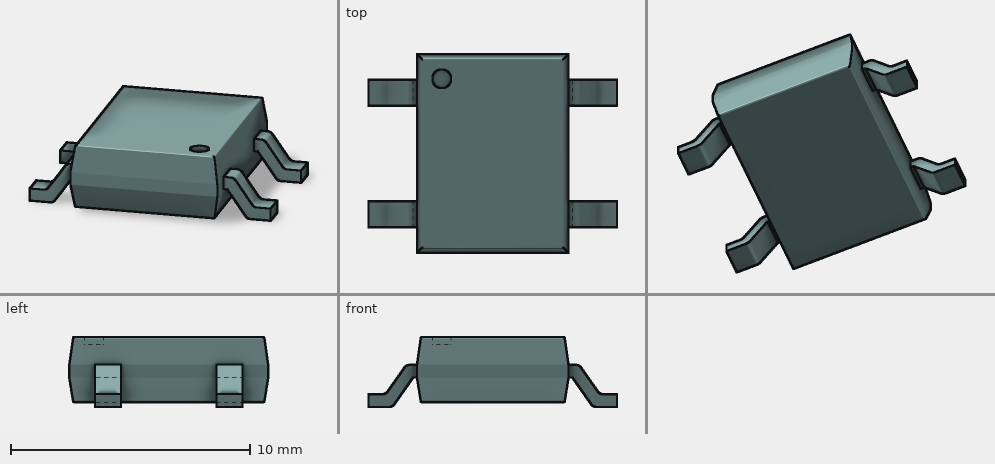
import cadquery as cq
import math

SPAN_X = 10.4
BODY_X = 6.34
BODY_Y = 8.32
BODY_BOTTOM = 0.2
BODY_TOP = 2.93

LEAD_THICKNESS = 0.54
LEAD_WIDTH = 1.1
LEAD_PITCH = 5.08
SHOULDER_TOP = 1.77
FOOT_TOP_LENGTH = 0.73
SHANK_RUN = 0.86
BEND_RADIUS = 0.26

BAND_TOP = SHOULDER_TOP
BAND_BOTTOM = SHOULDER_TOP - LEAD_THICKNESS
TAPER_INSET = 0.17
EDGE_RADIUS = 0.08

MARK_DIAMETER = 0.79
MARK_DEPTH = 0.31
MARK_X = -2.13
MARK_Y = 3.12


def tapered_half(band_z, end_z):
    """Frustum from the full band outline to the inset outline at end_z."""
    return (
        cq.Workplane("XY", origin=(0, 0, band_z))
        .rect(BODY_X, BODY_Y)
        .workplane(offset=end_z - band_z)
        .rect(BODY_X - 2 * TAPER_INSET, BODY_Y - 2 * TAPER_INSET)
        .loft(ruled=True)
    )


def make_housing():
    band = (
        cq.Workplane("XY", origin=(0, 0, BAND_BOTTOM))
        .rect(BODY_X, BODY_Y)
        .extrude(BAND_TOP - BAND_BOTTOM)
    )
    upper = tapered_half(BAND_TOP, BODY_TOP)
    lower = tapered_half(BAND_BOTTOM, BODY_BOTTOM)
    housing = band.union(upper).union(lower)
    housing = housing.faces(">Z or <Z").edges().fillet(EDGE_RADIUS)
    mark = (
        cq.Workplane("XY", origin=(MARK_X, MARK_Y, BODY_TOP - MARK_DEPTH))
        .circle(MARK_DIAMETER / 2)
        .extrude(MARK_DEPTH)
    )
    return housing.cut(mark)


def make_left_lead(center_y):
    """Gull-wing lead on the -X side, ending flush against the housing band."""
    tip_x = -SPAN_X / 2
    root_x = -BODY_X / 2
    foot_x = tip_x + FOOT_TOP_LENGTH
    knee_x = foot_x + SHANK_RUN
    slope = math.atan2(SHOULDER_TOP - LEAD_THICKNESS, SHANK_RUN)
    corner_shift = LEAD_THICKNESS * math.tan(slope / 2)
    profile = [
        (tip_x, 0),
        (foot_x + corner_shift, 0),
        (knee_x + corner_shift, BAND_BOTTOM),
        (root_x, BAND_BOTTOM),
        (root_x, SHOULDER_TOP),
        (knee_x, SHOULDER_TOP),
        (foot_x, LEAD_THICKNESS),
        (tip_x, LEAD_THICKNESS),
    ]
    lead = (
        cq.Workplane("XZ", origin=(0, center_y + LEAD_WIDTH / 2, 0))
        .polyline(profile)
        .close()
        .extrude(LEAD_WIDTH)
    )
    rounded_corners = [
        (foot_x, LEAD_THICKNESS),
        (knee_x, SHOULDER_TOP),
        (foot_x + corner_shift, 0),
    ]
    bends = []
    for x, z in rounded_corners:
        nearest = cq.selectors.NearestToPointSelector((x, center_y, z))
        bends.append(lead.edges("|Y").edges(nearest).val())
    return lead.newObject(bends).fillet(BEND_RADIUS)


housing = make_housing()

leads = []
for center_y in (-LEAD_PITCH / 2, LEAD_PITCH / 2):
    left_lead = make_left_lead(center_y)
    leads.append(left_lead.val())
    leads.append(left_lead.mirror("YZ").val())

result = cq.Compound.makeCompound([housing.val(), *leads])